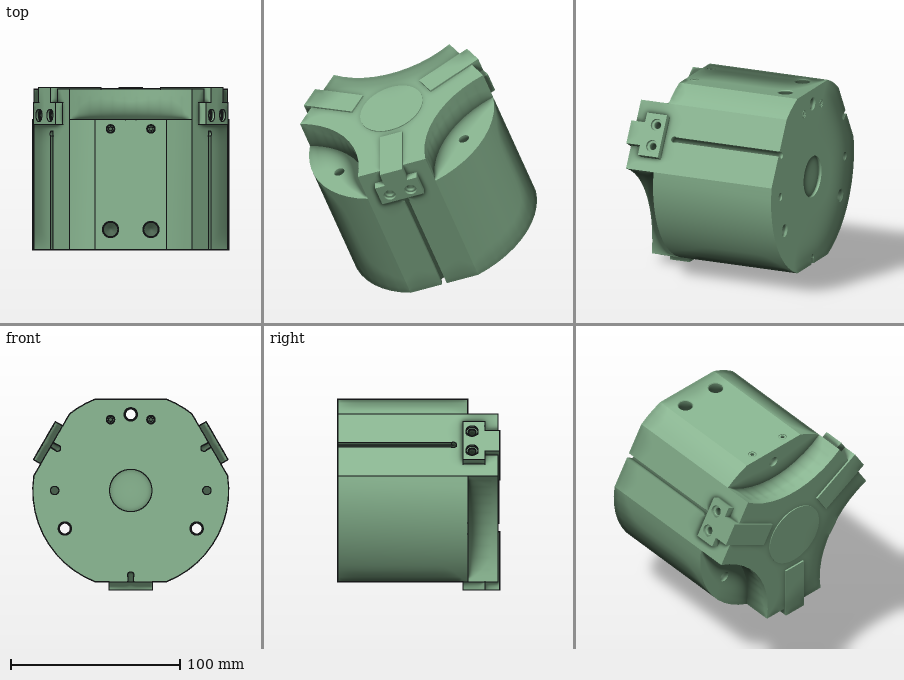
import cadquery as cq
import math


body_diameter = 116.0
flat_span = 108.0
flat_distance = flat_span / 2
step_length = 77.0
housing_length = 95.0
body_radius = body_diameter / 2
flat_half_width = math.sqrt(body_radius**2 - flat_distance**2)
jaw_angles = [30, 150, 270]
half_jaw_pitch = 60
flat_angles = [*jaw_angles, 90]

disc_diameter = 39.0
disc_height = 0.6

recess_diameter = 25.0
recess_depth = 2.0
mount_circle_radius = 45.0
mount_hole_angles = [90, 210, 330]
mount_hole_diameter = 6.4
mount_mouth_diameter = 7.9
dowel_hole_diameter = 5.0
dowel_hole_depth = 9.0

port_offset = 12.0
port_diameter = 8.6
port_mouth_diameter = 9.5
port_depth = 10.0
port_from_end = 12.1
drill_point_angle = 118
plug_diameter = 5.0
plug_length = 6.0
plug_chamfer = 0.5
plug_socket_size = 2.3
plug_socket_depth = 2.5
hexagon_half_angle = 30
top_plug_from_end = 71.6
end_plug_height = 41.9

groove_length = 70.4
groove_neck_width = 3.0
groove_channel_diameter = 3.7
groove_channel_depth = 4.1

jaw_protrusion = 5.0
jaw_plate_width = 26.0
jaw_plate_start = 74.1
jaw_plate_length = 13.0
jaw_stem_width = 14.0
jaw_end = 96.0
jaw_inner_radius = 24.4
jaw_hole_spacing = 13.0
jaw_hole_from_end = 79.6
jaw_hole_diameter = 4.2
jaw_hole_mouth_diameter = 4.9
jaw_counterbore_diameter = 7.2
jaw_counterbore_depth = 1.7
jaw_hole_depth = 11.6


def place_around(shape, angle):
    """Turn a shape built on the +X side to the given angle, counted from +X towards +Z."""
    return shape.rotate((0, 0, 0), (0, 1, 0), -angle)


def box(x_range, y_range, z_range):
    lows, highs = zip(x_range, y_range, z_range)
    sizes = [high - low for low, high in zip(lows, highs)]
    return cq.Workplane("XY").box(*sizes, centered=False).translate(lows)


def cylinder_along_y(diameter, start, end):
    return cq.Workplane("XZ", origin=(0, start, 0)).circle(diameter / 2).extrude(start - end)


def chamfered_hole(diameter, mouth_diameter, depth, pointed):
    """Hole cutter along +Z from the origin, with a 45 degree mouth and an optional drill point."""
    radius = diameter / 2
    mouth_radius = mouth_diameter / 2
    profile = (
        cq.Workplane("XZ")
        .lineTo(mouth_radius, 0)
        .lineTo(radius, mouth_radius - radius)
        .lineTo(radius, depth)
    )
    tip_height = radius / math.tan(math.radians(drill_point_angle / 2)) if pointed else 0
    return profile.lineTo(0, depth + tip_height).close().revolve(360, (0, 0, 0), (0, 1, 0))


def into_end_face(shape, x, z):
    """Stand a +Z shape on the plain end face, pointing into the housing."""
    return shape.rotate((0, 0, 0), (1, 0, 0), -90).translate((x, 0, z))


def into_top_flat(shape, x, y):
    """Stand a +Z shape on the top flat, pointing into the housing."""
    return shape.rotate((0, 0, 0), (1, 0, 0), 180).translate((x, y, flat_distance))


def housing_envelope():
    envelope = cylinder_along_y(body_diameter, 0, housing_length)
    for angle in flat_angles:
        beyond_flat = box(
            (flat_distance, body_diameter),
            (-body_diameter, body_diameter),
            (-body_diameter, body_diameter),
        )
        envelope = envelope.cut(place_around(beyond_flat, angle))
    return envelope


def scallop(angle):
    """Hollow between two jaws: the body arc mirrored about the chord that joins their flats."""
    half_arc = math.radians(half_jaw_pitch) - math.asin(flat_half_width / body_radius)
    axis_distance = 2 * body_radius * math.cos(half_arc)
    hollow = cylinder_along_y(body_diameter, step_length, housing_length)
    return place_around(hollow.translate((axis_distance, 0, 0)), angle)


def sensor_groove(angle):
    """Keyhole groove in a jaw flat, run in from the end face to a ball-ended entry hole."""
    channel_radius = groove_channel_diameter / 2
    channel_axis = flat_distance - groove_channel_depth
    entry_centre = groove_length - channel_radius
    half_neck = groove_neck_width / 2

    neck = box((channel_axis, flat_distance), (0, entry_centre), (-half_neck, half_neck))
    channel = cylinder_along_y(groove_channel_diameter, 0, entry_centre).translate((channel_axis, 0, 0))
    entry = cq.Workplane("YZ", origin=(channel_axis, entry_centre, 0)).circle(channel_radius)
    entry = entry.extrude(groove_channel_depth)
    ball = cq.Workplane("XY").sphere(channel_radius).translate((channel_axis, entry_centre, 0))
    return place_around(neck.union(channel).union(entry).union(ball), angle)


def jaw_blank(outer_radius):
    """T-shaped bar along +X, with its narrow stem on the jaw end side of its wide plate."""
    half_plate = jaw_plate_width / 2
    half_stem = jaw_stem_width / 2
    plate_end = jaw_plate_start + jaw_plate_length
    radial_range = (jaw_inner_radius, outer_radius)
    plate = box(radial_range, (jaw_plate_start, plate_end), (-half_plate, half_plate))
    stem = box(radial_range, (plate_end, jaw_end), (-half_stem, half_stem))
    return plate.union(stem)


def plug_blank():
    """Plain set screw body along +Z, which is also the cutter for its hole."""
    return cq.Workplane("XY").circle(plug_diameter / 2).extrude(plug_length)


def make_plug():
    """Set screw along +Z with a chamfered rim and its hexagon socket at the origin."""
    socket_circle = plug_socket_size / math.cos(math.radians(hexagon_half_angle))
    socket = cq.Workplane("XY").polygon(6, socket_circle).extrude(plug_socket_depth)
    socket = socket.rotate((0, 0, 0), (0, 0, 1), hexagon_half_angle)
    return plug_blank().faces("<Z").chamfer(plug_chamfer).cut(socket)


def at_plug_places(make_shape):
    shapes = []
    for x in (-port_offset, port_offset):
        shapes.append(into_end_face(make_shape(), x, end_plug_height))
        shapes.append(into_top_flat(make_shape(), x, top_plug_from_end))
    return shapes


def make_housing():
    body = housing_envelope()
    for angle in jaw_angles:
        body = body.cut(scallop(angle + half_jaw_pitch))
        body = body.cut(sensor_groove(angle))
        body = body.cut(place_around(jaw_blank(flat_distance), angle))
    body = body.union(cylinder_along_y(disc_diameter, housing_length, housing_length + disc_height))
    body = body.cut(cylinder_along_y(recess_diameter, 0, recess_depth))

    for angle in mount_hole_angles:
        hole = chamfered_hole(mount_hole_diameter, mount_mouth_diameter, housing_length, False)
        body = body.cut(place_around(into_end_face(hole, mount_circle_radius, 0), angle))
    for x in (-mount_circle_radius, mount_circle_radius):
        dowel_hole = cylinder_along_y(dowel_hole_diameter, 0, dowel_hole_depth)
        body = body.cut(dowel_hole.translate((x, 0, 0)))
    for x in (-port_offset, port_offset):
        port = chamfered_hole(port_diameter, port_mouth_diameter, port_depth, True)
        body = body.cut(into_top_flat(port, x, port_from_end))

    for plug_hole in at_plug_places(plug_blank):
        body = body.cut(plug_hole)
    return body


def jaw_screw_hole():
    """Blind screw hole along +Z from the origin, with a chamfered mouth below a counterbore."""
    counterbore = cq.Workplane("XY").circle(jaw_counterbore_diameter / 2).extrude(jaw_counterbore_depth)
    thread_depth = jaw_hole_depth - jaw_counterbore_depth
    thread = chamfered_hole(jaw_hole_diameter, jaw_hole_mouth_diameter, thread_depth, False)
    return counterbore.union(thread.translate((0, 0, jaw_counterbore_depth)))


def make_jaw(angle):
    """Sliding jaw with two screw holes in its outer face."""
    outer_radius = flat_distance + jaw_protrusion
    jaw = jaw_blank(outer_radius)
    for z in (-jaw_hole_spacing / 2, jaw_hole_spacing / 2):
        hole = jaw_screw_hole().rotate((0, 0, 0), (0, 1, 0), -90)
        jaw = jaw.cut(hole.translate((outer_radius, jaw_hole_from_end, z)))
    return place_around(jaw, angle)


housing = make_housing()
jaws = [make_jaw(angle) for angle in jaw_angles]
plugs = at_plug_places(make_plug)

result = cq.Compound.makeCompound(
    [housing.val(), *[jaw.val() for jaw in jaws], *[plug.val() for plug in plugs]]
)